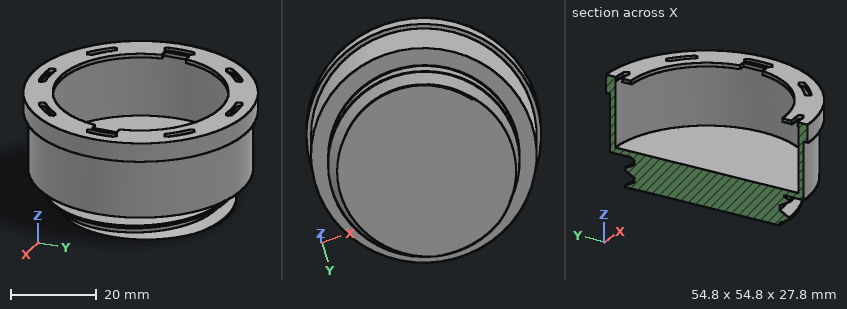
import cadquery as cq
import math

neck_height = 8.0
body_height = 15.0
flange_height = 4.75
flange_radius = 27.4
body_radius = 26.3

floor_thickness = 1.65
cup_radius = 49.6 / 2
lip_thickness = 1.0
opening_radius = 20.5
key_length = 43.85
key_width = 6.15

slot_count = 8
slot_pitch_radius = 23.8
slot_width = 1.55
slot_length = 7.5

root_radius = 39.5 / 2
crest_radius = 44.65 / 2
thread_pitch = 4.5
crest_width = 0.55
thread_base_width = 3.45
first_crest_z = -1.0
thread_overlap = 0.3

body_top = neck_height + body_height
total_height = body_top + flange_height
floor_z = neck_height + floor_thickness
lip_bottom = total_height - lip_thickness


def cylinder(radius, bottom, top):
    return cq.Workplane("XY").workplane(offset=bottom).circle(radius).extrude(top - bottom)


def make_thread():
    """Helical ridge, trimmed to the height of the neck."""
    start_z = first_crest_z - thread_pitch
    turns = math.ceil((neck_height - start_z) / thread_pitch) + 1
    helix = cq.Wire.makeHelix(thread_pitch, turns * thread_pitch, root_radius)
    flank_slope = (thread_base_width - crest_width) / 2 / (crest_radius - root_radius)
    inner_half = thread_base_width / 2 + thread_overlap * flank_slope
    crest_half = crest_width / 2
    ridge = (
        cq.Workplane("XZ")
        .polyline([
            (root_radius - thread_overlap, -inner_half),
            (crest_radius, -crest_half),
            (crest_radius, crest_half),
            (root_radius - thread_overlap, inner_half),
        ])
        .close()
        .sweep(cq.Workplane(obj=helix), isFrenet=True)
        .translate((0, 0, start_z))
    )
    return ridge.intersect(cylinder(flange_radius, 0, neck_height))


def make_slot():
    """Round-ended slot on the +X side, following the slot circle."""
    half_width = slot_width / 2
    half_angle = math.asin((slot_length / 2 - half_width) / slot_pitch_radius)

    def at(radius, angle):
        return (radius * math.cos(angle), radius * math.sin(angle))

    def end_tip(side):
        x, y = at(slot_pitch_radius, side * half_angle)
        return (
            x - side * half_width * math.sin(side * half_angle),
            y + side * half_width * math.cos(half_angle),
        )

    inner = slot_pitch_radius - half_width
    outer = slot_pitch_radius + half_width
    return (
        cq.Workplane("XY")
        .workplane(offset=lip_bottom)
        .moveTo(*at(outer, -half_angle))
        .threePointArc(at(outer, 0), at(outer, half_angle))
        .threePointArc(end_tip(1), at(inner, half_angle))
        .threePointArc(at(inner, 0), at(inner, -half_angle))
        .threePointArc(end_tip(-1), at(outer, -half_angle))
        .close()
        .extrude(lip_thickness)
    )


shell = (
    cylinder(root_radius, 0, neck_height)
    .union(make_thread())
    .union(cylinder(body_radius, neck_height, body_top))
    .union(cylinder(flange_radius, body_top, total_height))
)

key = (
    cq.Workplane("XY")
    .workplane(offset=lip_bottom)
    .rect(key_length, key_width)
    .extrude(lip_thickness)
)
result = (
    shell
    .cut(cylinder(cup_radius, floor_z, lip_bottom))
    .cut(cylinder(opening_radius, lip_bottom, total_height))
    .cut(key)
)

slot = make_slot()
for index in range(slot_count):
    result = result.cut(slot.rotate((0, 0, 0), (0, 0, 1), index * 360 / slot_count))